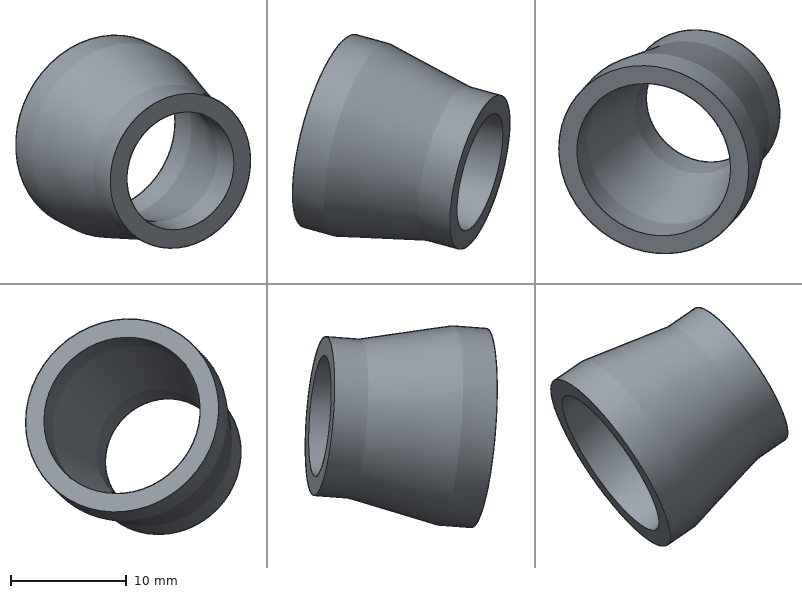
import cadquery as cq

length = 14.0
collar_length = 3.0
large_outer_diameter = 17.3
large_bore_diameter = 14.0
small_outer_diameter = 13.8
small_bore_diameter = 10.5

taper_start = collar_length
taper_end = length - collar_length


def reducer_body(large_diameter, small_diameter):
    """Solid of revolution: large cylinder, cone, small cylinder."""
    large_radius = large_diameter / 2
    small_radius = small_diameter / 2
    half_profile = [
        (0, 0),
        (0, large_radius),
        (taper_start, large_radius),
        (taper_end, small_radius),
        (length, small_radius),
        (length, 0),
    ]
    return cq.Workplane("XY").polyline(half_profile).close().revolve(360, (0, 0), (1, 0))


outer_body = reducer_body(large_outer_diameter, small_outer_diameter)
bore = reducer_body(large_bore_diameter, small_bore_diameter)
result = outer_body.cut(bore)